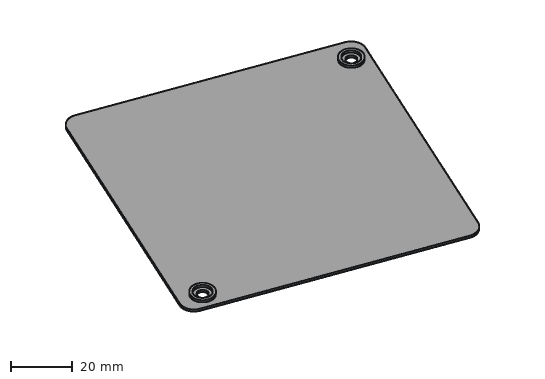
import cadquery as cq

side = 105.0
plate_thickness = 1.0
corner_radius = 5.0

total_height = 2.0
boss_diameter = 8.7
counterbore_diameter = 6.6
hole_diameter = 4.0
counterbore_depth = total_height - plate_thickness
near_offset = 46.0
far_offset = 43.8
boss_centres = [(-far_offset, near_offset), (near_offset, -far_offset)]


def make_plate():
    plate = cq.Workplane("XY").rect(side, side).extrude(plate_thickness)
    return plate.edges("|Z").fillet(corner_radius)


def add_bosses(plate):
    bosses = (
        cq.Workplane("XY")
        .pushPoints(boss_centres)
        .circle(boss_diameter / 2)
        .extrude(total_height)
    )
    return plate.union(bosses)


def cut_counterbored_holes(body):
    return (
        body.faces(">Z")
        .workplane(origin=(0, 0, total_height))
        .pushPoints(boss_centres)
        .cboreHole(hole_diameter, counterbore_diameter, counterbore_depth)
    )


result = cut_counterbored_holes(add_bosses(make_plate()))